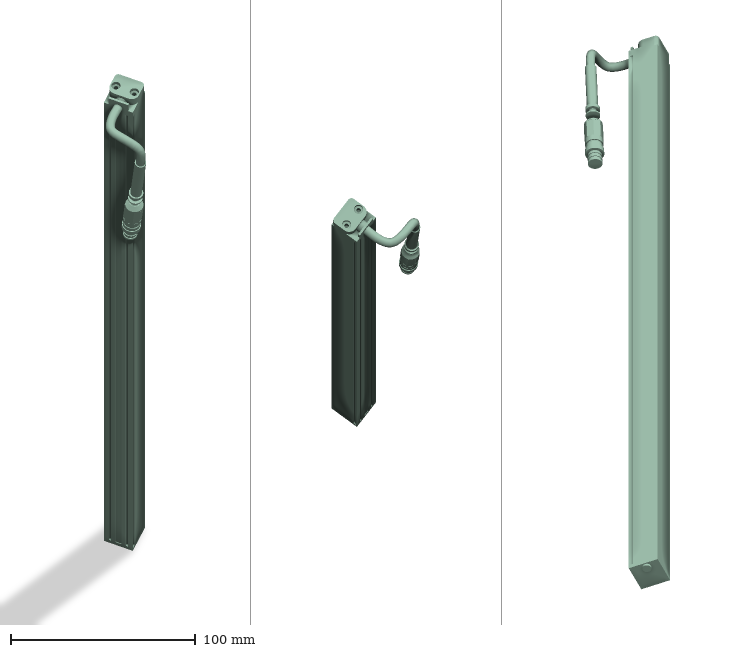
import cadquery as cq
import math

HOUSING_X = 17.0
HOUSING_Y = 17.0
TOP_Z = 416.0
FOOT_HEIGHT = 1.2
FOOT_DIAMETER = 5.0

SHOULDER_Z = 408.5
CAP_FLOOR_Z = 410.5
CAP_SETBACK = 4.0
CAP_FRONT_RADIUS = 4.0
CAP_BACK_RADIUS = 2.0
LIP_WIDTH = 11.5
LIP_THICKNESS = 1.2

SCREW_X = 5.5
SCREW_Y = 1.0
SCREW_RECESS_DIAMETER = 5.0
SCREW_RECESS_DEPTH = 2.0
SCREW_HOLE_DIAMETER = 2.5
SCREW_HOLE_DEPTH = 6.2

GROOVE_BOTTOM_Z = 3.7
GROOVE_TOP_Z = 406.0
WINDOW_WIDTH = 3.7
WINDOW_DEPTH = 0.5
FRONT_GROOVE_X = 5.0
FRONT_GROOVE_WIDTH = 1.2
FRONT_GROOVE_DEPTH = 1.2
SIDE_NOTCH_DEPTH = 1.2
SIDE_NOTCH_BACK = 2.5
SIDE_NOTCH_FRONT = 0.5

CABLE_DIAMETER = 5.0
CABLE_Z = 410.5
CABLE_REACH_Y = -25.8
SIDE_BEND_RADIUS = 7.5
DOWN_BEND_RADIUS = 13.5
HANG_ANGLE = math.radians(5)
GLAND_DIAMETER = 7.0

SLEEVE_START = 3.5
FLANGE_START = 33.0
NECK_START = 35.0
RING_START = 38.0
CABLE_END = 38.5
CONNECTOR_START = 42.5
GRIP_START = 45.5
GRIP_END = 56.5
NUT_START = 61.0
NUT_RIM_START = 63.5
NUT_END = 66.5
CONNECTOR_END = 73.5

SLEEVE_DIAMETER = 6.2
FLANGE_DIAMETER = 8.0
NECK_DIAMETER = 4.5
COLLAR_DIAMETER = 10.0
COLLAR_CHAMFER = 2.0
GRIP_SIDES = 8
GRIP_ACROSS_FLATS = 9.5
NUT_DIAMETER = 9.5
NUT_RIM_DIAMETER = 10.5
NUT_GROOVE_WIDTH = 1.2
NUT_GROOVE_DIAMETER = 8.7
THREAD_DIAMETER = 8.0
THREAD_GROOVE_DIAMETER = 7.0
THREAD_GROOVE_WIDTH = 1.2
THREAD_PITCH = 2.5

FRONT_Y = -HOUSING_Y / 2
CAP_FRONT_Y = FRONT_Y + CAP_SETBACK

BEND_CENTRE_X = SIDE_BEND_RADIUS
BEND_CENTRE_Z = CABLE_Z - DOWN_BEND_RADIUS
HANG_POINT = (
    BEND_CENTRE_X + DOWN_BEND_RADIUS * math.cos(HANG_ANGLE),
    CABLE_REACH_Y,
    BEND_CENTRE_Z - DOWN_BEND_RADIUS * math.sin(HANG_ANGLE),
)
HANG_DIRECTION = (-math.sin(HANG_ANGLE), 0, -math.cos(HANG_ANGLE))
HANG_PLANE = cq.Plane(origin=HANG_POINT, xDir=(0, 1, 0), normal=HANG_DIRECTION)


def hanging_cylinder(diameter, start, end):
    """Round section of the hanging axis between two stations."""
    return cq.Workplane(HANG_PLANE).workplane(offset=start).circle(diameter / 2).extrude(end - start)


def cap_layer(setback, bottom_z, top_z):
    """Layer of the top cap with rounded back edges, set back from the front face."""
    return (
        cq.Workplane("XY", origin=(0, setback / 2, bottom_z))
        .rect(HOUSING_X, HOUSING_Y - setback)
        .extrude(top_z - bottom_z)
        .edges("|Z and >Y")
        .fillet(CAP_BACK_RADIUS)
    )


def make_bar():
    """Square bar with the stepped top cap, its front lip and the small foot under it."""
    bar = (
        cq.Workplane("XY", origin=(0, 0, FOOT_HEIGHT))
        .rect(HOUSING_X, HOUSING_Y)
        .extrude(SHOULDER_Z - FOOT_HEIGHT)
    )
    lower_cap = cap_layer(0, SHOULDER_Z, CAP_FLOOR_Z)
    upper_cap = cap_layer(CAP_SETBACK, CAP_FLOOR_Z, TOP_Z).edges("|Z and <Y").fillet(CAP_FRONT_RADIUS)
    lip = (
        cq.Workplane("XY", origin=(0, FRONT_Y + LIP_THICKNESS / 2, CAP_FLOOR_Z))
        .rect(LIP_WIDTH, LIP_THICKNESS)
        .extrude(TOP_Z - CAP_FLOOR_Z)
    )
    foot = (
        cq.Workplane("XY")
        .center(SCREW_X, SCREW_Y)
        .circle(FOOT_DIAMETER / 2)
        .extrude(FOOT_HEIGHT)
    )
    return bar.union(lower_cap).union(upper_cap).union(lip).union(foot)


def cut_screw_recesses(bar):
    """Counterbored screw holes in the top."""
    return (
        bar.copyWorkplane(cq.Workplane("XY", origin=(0, 0, TOP_Z)))
        .pushPoints([(-SCREW_X, SCREW_Y), (SCREW_X, SCREW_Y)])
        .cboreHole(SCREW_HOLE_DIAMETER, SCREW_RECESS_DIAMETER, SCREW_RECESS_DEPTH, SCREW_HOLE_DEPTH)
    )


def front_groove(x, width, depth):
    """Cutter for a lengthwise groove in the front face."""
    return (
        cq.Workplane("XY", origin=(x, FRONT_Y, GROOVE_BOTTOM_Z))
        .rect(width, 2 * depth)
        .extrude(GROOVE_TOP_Z - GROOVE_BOTTOM_Z)
    )


def side_notch(side):
    """Cutter for a lengthwise notch in one side that slopes out towards the front."""
    wall_x = side * HOUSING_X / 2
    back_y = FRONT_Y + SIDE_NOTCH_BACK
    return (
        cq.Workplane("XY", origin=(0, 0, GROOVE_BOTTOM_Z))
        .moveTo(wall_x, back_y)
        .lineTo(wall_x - side * SIDE_NOTCH_DEPTH, back_y)
        .lineTo(wall_x, FRONT_Y + SIDE_NOTCH_FRONT)
        .close()
        .extrude(GROOVE_TOP_Z - GROOVE_BOTTOM_Z)
    )


def cut_grooves(bar):
    """Shallow front window, with a groove and a side notch on either hand."""
    bar = bar.cut(front_groove(0, WINDOW_WIDTH, WINDOW_DEPTH))
    for side in (-1, 1):
        bar = bar.cut(front_groove(side * FRONT_GROOVE_X, FRONT_GROOVE_WIDTH, FRONT_GROOVE_DEPTH))
        bar = bar.cut(side_notch(side))
    return bar


def make_cable():
    """Gland and smoothly bent cable, from inside the cap to the start of the sleeve."""
    gland = (
        cq.Workplane("XZ", origin=(0, 0, CABLE_Z))
        .circle(GLAND_DIAMETER / 2)
        .extrude(-FRONT_Y)
    )
    half = math.sqrt(0.5)
    side_bend_y = CABLE_REACH_Y + SIDE_BEND_RADIUS
    side_bend_mid = (SIDE_BEND_RADIUS * (1 - half), side_bend_y - SIDE_BEND_RADIUS * half, CABLE_Z)
    down_bend_mid = (
        BEND_CENTRE_X + DOWN_BEND_RADIUS * half,
        CABLE_REACH_Y,
        BEND_CENTRE_Z + DOWN_BEND_RADIUS * half,
    )
    path_points = [
        (0, CAP_FRONT_Y, CABLE_Z),
        (0, side_bend_y, CABLE_Z),
        side_bend_mid,
        (SIDE_BEND_RADIUS, CABLE_REACH_Y, CABLE_Z),
        down_bend_mid,
        HANG_PLANE.toWorldCoords((0, 0, SLEEVE_START)).toTuple(),
    ]
    path = cq.Workplane("XY").spline(path_points, tangents=[(0, -1, 0), HANG_DIRECTION])
    bent_cable = (
        cq.Workplane("XZ", origin=(0, CAP_FRONT_Y, CABLE_Z))
        .circle(CABLE_DIAMETER / 2)
        .sweep(path)
    )
    return gland.union(bent_cable)


def make_sleeve():
    """Round sleeve that ends in a flange, a neck and a ring."""
    return (
        hanging_cylinder(SLEEVE_DIAMETER, SLEEVE_START, FLANGE_START)
        .union(hanging_cylinder(FLANGE_DIAMETER, FLANGE_START, NECK_START))
        .union(hanging_cylinder(NECK_DIAMETER, NECK_START, RING_START))
        .union(hanging_cylinder(FLANGE_DIAMETER, RING_START, CABLE_END))
    )


def make_housing():
    """Housing bar in one piece with its cable and sleeve."""
    bar = cut_grooves(cut_screw_recesses(make_bar()))
    return bar.union(make_cable()).union(make_sleeve())


def make_grip():
    """Chamfered collar over a flat-sided grip."""
    collar = hanging_cylinder(COLLAR_DIAMETER, CONNECTOR_START, GRIP_START)
    collar = collar.faces(">Z").chamfer(COLLAR_CHAMFER)
    corner_diameter = GRIP_ACROSS_FLATS / math.cos(math.pi / GRIP_SIDES)
    flats = (
        cq.Workplane(HANG_PLANE)
        .workplane(offset=GRIP_START)
        .transformed(rotate=(0, 0, 180 / GRIP_SIDES))
        .polygon(GRIP_SIDES, corner_diameter)
        .extrude(GRIP_END - GRIP_START)
    )
    return collar.union(flats)


def make_connector():
    """Plug: grip, rimmed nut with a groove above it, and a threaded end."""
    groove_start = NUT_START - NUT_GROOVE_WIDTH
    connector = (
        make_grip()
        .union(hanging_cylinder(COLLAR_DIAMETER, GRIP_END, groove_start))
        .union(hanging_cylinder(NUT_GROOVE_DIAMETER, groove_start, NUT_START))
        .union(hanging_cylinder(NUT_DIAMETER, NUT_START, NUT_RIM_START))
        .union(hanging_cylinder(NUT_RIM_DIAMETER, NUT_RIM_START, NUT_END))
        .union(hanging_cylinder(THREAD_GROOVE_DIAMETER, NUT_END, CONNECTOR_END))
    )
    thread_count = round((CONNECTOR_END - NUT_END) / THREAD_PITCH)
    for turn in range(thread_count):
        crest_end = CONNECTOR_END - turn * THREAD_PITCH
        crest_start = crest_end - THREAD_PITCH + THREAD_GROOVE_WIDTH
        connector = connector.union(hanging_cylinder(THREAD_DIAMETER, crest_start, crest_end))
    return connector


housing = make_housing()
connector = make_connector()
result = cq.Compound.makeCompound([housing.val(), connector.val()])